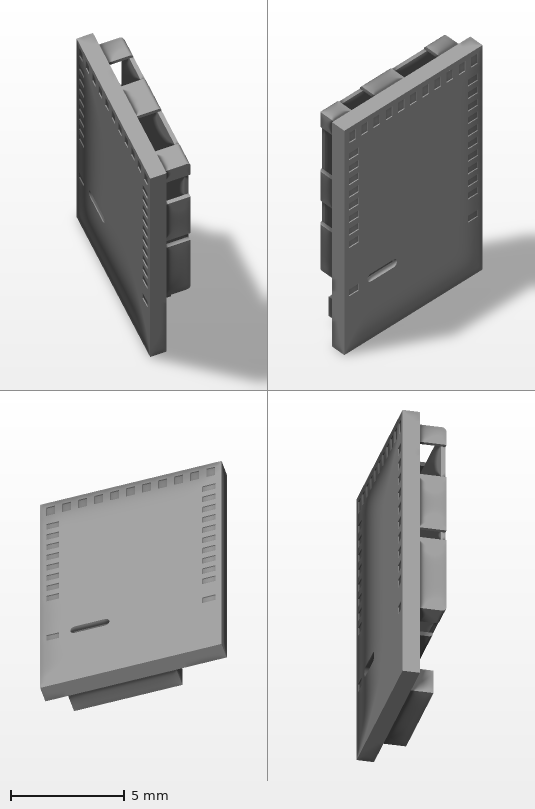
import cadquery as cq

BOARD_WIDTH = 8.4
BOARD_HEIGHT = 13.2
BOARD_THICKNESS = 0.79
TOTAL_DEPTH = 2.1

SHEET = 0.2
SHIELD_LEFT = 0.41
SHIELD_RIGHT = 8.0
SHIELD_BOTTOM = 3.51
SHIELD_TOP = 12.79
LID_UNDERSIDE = TOTAL_DEPTH - SHEET
TOP_WALL_GAPS = [(1.5, 2.92), (4.71, 6.81)]
BOTTOM_WALL_GAPS = [(5.58, 6.81)]
LEFT_WALL_GAPS = [(6.18, 7.59), (9.29, 11.92)]
RIGHT_WALL_GAPS = [(7.1, 7.59), (10.3, 11.92)]

LEG_LEFT = 1.49
LEG_RIGHT = 3.09
LEG_TIP = 0.18
SLOT_LEFT = 1.4
SLOT_RIGHT = 3.21
SLOT_BOTTOM = 3.37
SLOT_HEIGHT = 0.46

BLOCK_LEFT = 0.95
BLOCK_RIGHT = 5.97
BLOCK_BOTTOM = 0.45
BLOCK_TOP = 1.58
BLOCK_DEPTH = 1.23

PAD_LENGTH = 0.6
PAD_WIDTH = 0.4
PAD_RECESS = 0.05
PAD_PITCH = 0.74
PAD_EDGE_INSET = 0.58
TOP_ROW_Z = 12.59
TOP_ROW_COUNT = 11
COLUMN_START_Z = 11.5
LEFT_COLUMN_COUNT = 8
RIGHT_COLUMN_COUNT = 10
LOWEST_PAD_Z = 3.48


def box_between(x_range, y_range, z_range):
    """Box spanning the given (start, end) ranges."""
    starts, ends = zip(x_range, y_range, z_range)
    sizes = [end - start for start, end in zip(starts, ends)]
    return cq.Workplane("XY").box(*sizes, centered=False).translate(starts)


def make_board():
    board = box_between((0, BOARD_WIDTH), (0, BOARD_THICKNESS), (0, BOARD_HEIGHT))
    slot = (
        cq.Workplane("XZ")
        .center((SLOT_LEFT + SLOT_RIGHT) / 2, SLOT_BOTTOM + SLOT_HEIGHT / 2)
        .slot2D(SLOT_RIGHT - SLOT_LEFT, SLOT_HEIGHT)
        .extrude(-BOARD_THICKNESS)
    )
    return board.cut(slot)


def make_shield():
    """Open-backed sheet can, its lid edge rounded on all sides but the right."""
    x_range = (SHIELD_LEFT, SHIELD_RIGHT)
    z_range = (SHIELD_BOTTOM, SHIELD_TOP)
    inner_x = (SHIELD_LEFT + SHEET, SHIELD_RIGHT - SHEET)
    inner_z = (SHIELD_BOTTOM + SHEET, SHIELD_TOP - SHEET)
    wall_depth = (BOARD_THICKNESS, LID_UNDERSIDE)
    full_depth = (BOARD_THICKNESS, TOTAL_DEPTH)

    shield = box_between(x_range, full_depth, z_range)
    shield = shield.faces(">Y").edges("<X or <Z or >Z").fillet(SHEET)
    shield = shield.cut(box_between(inner_x, wall_depth, inner_z))

    for gap in TOP_WALL_GAPS:
        shield = shield.cut(box_between(gap, full_depth, (inner_z[1], SHIELD_TOP)))
    for gap in BOTTOM_WALL_GAPS:
        shield = shield.cut(box_between(gap, full_depth, (SHIELD_BOTTOM, inner_z[0])))
    for gap in LEFT_WALL_GAPS:
        shield = shield.cut(box_between((SHIELD_LEFT, inner_x[0]), full_depth, gap))
    for gap in RIGHT_WALL_GAPS:
        shield = shield.cut(box_between((inner_x[1], SHIELD_RIGHT), full_depth, gap))

    leg = box_between(
        (LEG_LEFT, LEG_RIGHT), (LEG_TIP, LID_UNDERSIDE), (SHIELD_BOTTOM, inner_z[0])
    )
    return shield.union(leg)


def make_block():
    block_depth = (BOARD_THICKNESS, BOARD_THICKNESS + BLOCK_DEPTH)
    return box_between((BLOCK_LEFT, BLOCK_RIGHT), block_depth, (BLOCK_BOTTOM, BLOCK_TOP))


def pad_recesses(centres, width, height):
    return cq.Workplane("XZ").pushPoints(centres).rect(width, height).extrude(-PAD_RECESS)


def make_pad_recesses():
    """A row of upright pads along the top and a column of flat pads down each side."""
    row_start = BOARD_WIDTH / 2 - PAD_PITCH * (TOP_ROW_COUNT - 1) / 2
    row = [(row_start + i * PAD_PITCH, TOP_ROW_Z) for i in range(TOP_ROW_COUNT)]

    columns = []
    for x, count in (
        (PAD_EDGE_INSET, LEFT_COLUMN_COUNT),
        (BOARD_WIDTH - PAD_EDGE_INSET, RIGHT_COLUMN_COUNT),
    ):
        columns += [(x, COLUMN_START_Z - i * PAD_PITCH) for i in range(count)]
        columns.append((x, LOWEST_PAD_Z))

    upright_pads = pad_recesses(row, PAD_WIDTH, PAD_LENGTH)
    flat_pads = pad_recesses(columns, PAD_LENGTH, PAD_WIDTH)
    return upright_pads.union(flat_pads)


result = make_board().cut(make_pad_recesses()).union(make_shield()).union(make_block())